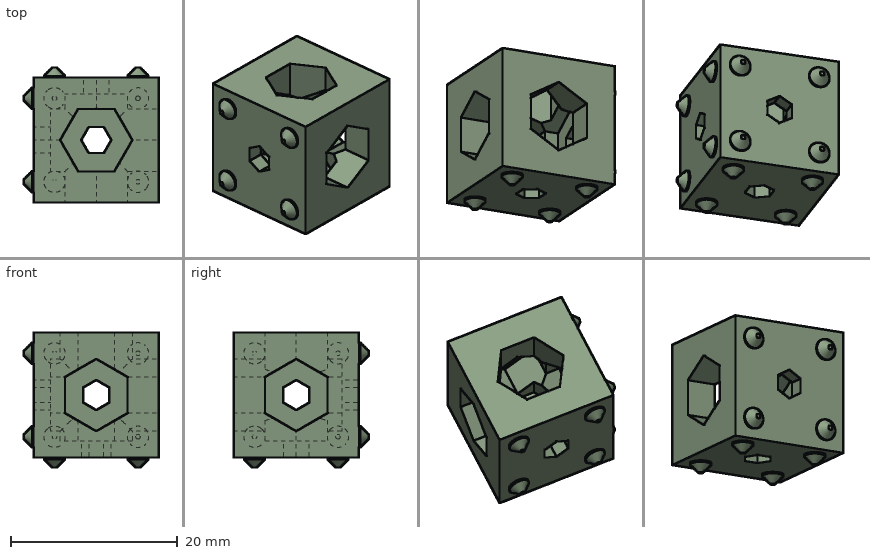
import cadquery as cq
import math

cube_side = 15.0
half_side = cube_side / 2

hexagon_sides = 6
pocket_across_flats = 7.5
hole_across_flats = 3.1
floor_thickness = 2.0

pin_diameter = 2.55
pin_height = 1.2
pin_collar_height = 0.2
pin_tip_diameter = pin_diameter - 2 * (pin_height - pin_collar_height)
pin_spacing = 10.0
pins_per_row = 2

pinned_faces = [
    (cq.Vector(-1, 0, 0), cq.Vector(0, 0, 1)),
    (cq.Vector(0, 1, 0), cq.Vector(0, 0, 1)),
    (cq.Vector(0, 0, -1), cq.Vector(1, 0, 0)),
]


def face_workplane(normal, corner_direction):
    """Workplane centred on a pinned face, with local +X toward a hexagon corner."""
    origin = normal * half_side
    return cq.Workplane(cq.Plane(origin, corner_direction, normal))


def make_pins(face):
    """Four pins standing on a face, at the corners of a square."""
    pin_radius = pin_diameter / 2
    tip_radius = pin_tip_diameter / 2
    pin = (
        cq.Workplane("XZ")
        .lineTo(pin_radius, 0)
        .lineTo(pin_radius, pin_collar_height)
        .lineTo(tip_radius, pin_height)
        .lineTo(0, pin_height)
        .close()
        .revolve(360, (0, 0, 0), (0, 1, 0))
        .val()
    )
    pin_centres = face.rarray(pin_spacing, pin_spacing, pins_per_row, pins_per_row)
    return pin_centres.eachpoint(pin, useLocalCoordinates=True)


def make_socket(face):
    """Cutter for a through hole and the wide pocket that stops short of the pinned face."""
    corner_per_flat = 1 / math.cos(math.pi / hexagon_sides)
    hole = face.polygon(hexagon_sides, hole_across_flats * corner_per_flat).extrude(-cube_side)
    pocket = (
        face.workplane(offset=-floor_thickness)
        .polygon(hexagon_sides, pocket_across_flats * corner_per_flat)
        .extrude(floor_thickness - cube_side)
    )
    return hole.union(pocket)


result = cq.Workplane("XY").box(cube_side, cube_side, cube_side)
for normal, corner_direction in pinned_faces:
    face = face_workplane(normal, corner_direction)
    result = result.union(make_pins(face)).cut(make_socket(face))